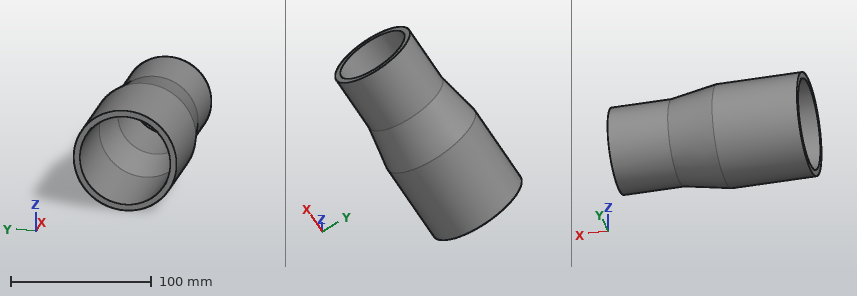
import cadquery as cq

total_length = 140.0
large_length = 62.2
transition_length = 33.9
transition_end = large_length + transition_length

large_outer_diameter = 75.0
large_bore_diameter = 66.0
small_outer_diameter = 63.0
small_bore_diameter = 54.0


def stepped_body(large_diameter, small_diameter):
    """Solid of revolution about X: large cylinder, cone, small cylinder."""
    large_radius = large_diameter / 2
    small_radius = small_diameter / 2
    half_profile = (
        cq.Workplane("XY")
        .lineTo(0, large_radius)
        .lineTo(large_length, large_radius)
        .lineTo(transition_end, small_radius)
        .lineTo(total_length, small_radius)
        .lineTo(total_length, 0)
        .close()
    )
    return half_profile.revolve(360, (0, 0, 0), (1, 0, 0))


outer_body = stepped_body(large_outer_diameter, small_outer_diameter)
bore = stepped_body(large_bore_diameter, small_bore_diameter)
result = outer_body.cut(bore)